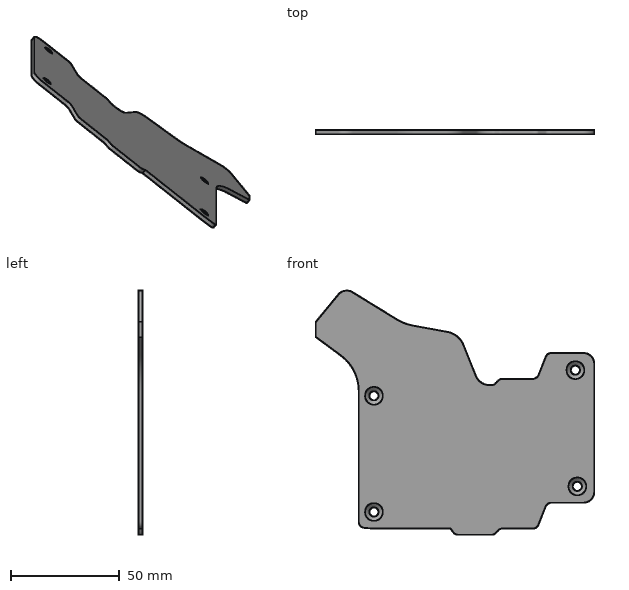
import cadquery as cq
import math

thickness = 2.0
length = 127.9
left_edge = 19.7

tab_height = 2.8
step_height = 11.9
band_height = 68.8
lower_edge = tab_height
lower_ear = lower_edge + step_height
valley_floor = band_height
upper_edge = valley_floor + tab_height
upper_ear = upper_edge + step_height

ramp_low_x = 81.7
ramp_high_x = 84.6
step_inner_x = 101.5
step_outer_x = 106.3

small_radius = 3.0
ramp_radius = 2.0
corner_radius = 5.0
valley_radius = 6.6
shoulder_radius = 10.0
neck_radius = 20.0

hole_diameter = 4.1
countersink_diameter = 8.2
left_hole_x = 26.7
hole_centers = [(left_hole_x, 10.5), (left_hole_x, 63.8), (119.2, 75.6), (120.0, 22.2)]

lower_corners = [
    (left_edge, 3.3, small_radius),
    (26.6, lower_edge, 0),
    (61.9, lower_edge, 0),
    (63.9, 0, small_radius),
    (ramp_low_x, 0, ramp_radius),
    (ramp_high_x, lower_edge, ramp_radius),
    (step_inner_x, lower_edge, small_radius),
    (step_outer_x, lower_ear, small_radius),
    (length, lower_ear, corner_radius),
]
upper_corners = [
    (length, upper_ear, corner_radius),
    (step_outer_x, upper_ear, small_radius),
    (step_inner_x, upper_edge, small_radius),
    (ramp_high_x, upper_edge, ramp_radius),
    (ramp_low_x, valley_floor, ramp_radius),
    (75.2, valley_floor, valley_radius),
    (65.8, 92.2, shoulder_radius),
    (40.7, 96.8, neck_radius),
]
arm_corners = [
    (13.2, 113.7, corner_radius),
    (0, 97.7, 0),
    (0, 90.8, 0),
    (left_edge, 76.2, neck_radius),
]


def rounded_corner(before, corner, after):
    """Return the start, middle and end points of the arc that rounds a corner."""
    tip = cq.Vector(corner[0], corner[1])
    to_before = (cq.Vector(before[0], before[1]) - tip).normalized()
    to_after = (cq.Vector(after[0], after[1]) - tip).normalized()
    radius = corner[2]
    half_angle = to_before.getAngle(to_after) / 2
    setback = radius / math.tan(half_angle)
    arc_distance = radius / math.sin(half_angle) - radius
    middle = tip + (to_before + to_after).normalized() * arc_distance
    points = (tip + to_before * setback, middle, tip + to_after * setback)
    return [(point.x, point.y) for point in points]


def make_plate(corners):
    """Extrude the rounded outline toward +Y from the front face at Y = 0."""
    ordered = corners[1:] + corners[:1]
    outline = cq.Workplane("XZ").moveTo(*ordered[0][:2])
    for index in range(1, len(ordered)):
        corner = ordered[index]
        if corner[2] == 0:
            outline = outline.lineTo(*corner[:2])
            continue
        following = ordered[(index + 1) % len(ordered)]
        start, middle, end = rounded_corner(ordered[index - 1], corner, following)
        outline = outline.lineTo(*start).threePointArc(middle, end)
    return outline.close().extrude(-thickness)


def countersink(x, z):
    """Conical cutter, wide at the front face and narrow at the back face."""
    return cq.Workplane(
        cq.Solid.makeCone(
            countersink_diameter / 2,
            hole_diameter / 2,
            thickness,
            pnt=cq.Vector(x, 0, z),
            dir=cq.Vector(0, 1, 0),
        )
    )


result = make_plate(lower_corners + upper_corners + arm_corners)
for hole_x, hole_z in hole_centers:
    result = result.cut(countersink(hole_x, hole_z))